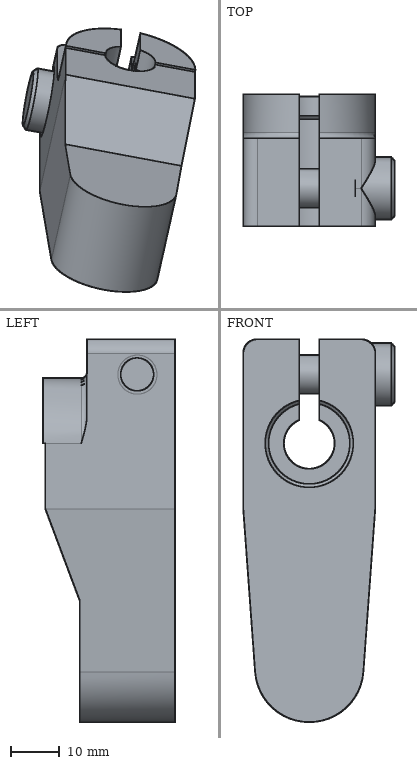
import cadquery as cq
import math

height = 78.3
width = 27.0
half_width = width / 2
tip_radius = 11.1
taper_top = 43.6
corner_radius = 2.9

clamp_thickness = 18
hub_thickness = 26.55
lever_thickness = 19.5
lever_top = 24.8

bore_z = 57.0
boss_back = width
boss_fillet = 1.2
bore_radius = 9.0
bore_floor = 22.55
floor_chamfer = 0.7
through_radius = 5.2
slot_width = 4.0

screw_y = 7.75
screw_z = height - 7.2
shank_radius = 4.0
clearance_radius = 4.4
tip_recess = 1.2
tip_recess_radius = 3.4
head_radius = 6.4
overall_x = 31.0
head_end = overall_x - half_width
head_chamfer = 0.8
pocket_radius = 7.2
pocket_depth = 4.15


def y_cylinder(radius, start, end):
    """Cylinder along y, centred on the bore."""
    plane = cq.Plane(origin=(0, start, bore_z), xDir=(1, 0, 0), normal=(0, 1, 0))
    return cq.Workplane(plane).circle(radius).extrude(end - start)


def screw_cylinder(radius, start, end):
    """Cylinder along x, centred on the screw axis."""
    plane = cq.Workplane("YZ", origin=(start, screw_y, screw_z))
    return plane.circle(radius).extrude(end - start)


def make_outline():
    """Full-depth lever whose tapered sides run tangent into the round tip."""
    rise = taper_top - tip_radius
    distance = math.hypot(half_width, rise)
    angle = math.atan2(rise, half_width) - math.acos(tip_radius / distance)
    tangent_x = tip_radius * math.cos(angle)
    tangent_z = tip_radius * (1 + math.sin(angle))
    return (
        cq.Workplane("XZ")
        .moveTo(-half_width, height)
        .lineTo(half_width, height)
        .lineTo(half_width, taper_top)
        .lineTo(tangent_x, tangent_z)
        .threePointArc((0, 0), (-tangent_x, tangent_z))
        .lineTo(-half_width, taper_top)
        .close()
        .extrude(-boss_back)
        .edges("|Y and >Z")
        .fillet(corner_radius)
    )


def make_side_profile():
    """Clamp plate, hub and thinner lever as one stepped slab."""
    points = [
        (0, 0),
        (lever_thickness, 0),
        (lever_thickness, lever_top),
        (hub_thickness, taper_top),
        (hub_thickness, bore_z),
        (clamp_thickness, bore_z),
        (clamp_thickness, height),
        (0, height),
    ]
    return cq.Workplane("YZ").polyline(points).close().extrude(half_width, both=True)


def make_boss():
    """Upper half of a boss flaring through a fillet into the clamp plate."""
    flare_radius = half_width + boss_fillet
    arc_offset = boss_fillet * (1 - math.sqrt(0.5))
    return (
        cq.Workplane("XY", origin=(0, 0, bore_z))
        .lineTo(flare_radius, 0)
        .lineTo(flare_radius, clamp_thickness)
        .threePointArc(
            (half_width + arc_offset, clamp_thickness + arc_offset),
            (half_width, clamp_thickness + boss_fillet),
        )
        .lineTo(half_width, boss_back)
        .lineTo(0, boss_back)
        .close()
        .revolve(180, (0, 0, 0), (0, -1, 0))
    )


def make_bore():
    """Wide bore with a chamfered floor and a smaller hole through the back."""
    wide = y_cylinder(bore_radius, 0, bore_floor).faces(">Y").chamfer(floor_chamfer)
    return wide.union(y_cylinder(through_radius, 0, boss_back))


def make_slot():
    """Clamping slit from the bore up through the top."""
    slot_height = height - bore_z
    return cq.Workplane("XY", origin=(0, boss_back / 2, bore_z)).box(
        slot_width, boss_back, slot_height, centered=(True, True, False)
    )


def make_screw():
    """Cap screw with a hollow in its tip, which lies flush with the clamp's left side."""
    seat = half_width - pocket_depth
    shank = screw_cylinder(shank_radius, -half_width, seat)
    head = screw_cylinder(head_radius, seat, head_end)
    hollow = screw_cylinder(tip_recess_radius, -half_width, tip_recess - half_width)
    return shank.cut(hollow).union(head.faces(">X").chamfer(head_chamfer))


body = make_side_profile().union(make_boss()).intersect(make_outline())
body = body.cut(make_bore()).cut(make_slot())
body = body.cut(screw_cylinder(shank_radius, -half_width, 0))
body = body.cut(screw_cylinder(clearance_radius, 0, half_width))
body = body.cut(screw_cylinder(pocket_radius, half_width - pocket_depth, half_width))
result = body.union(make_screw(), clean=False)